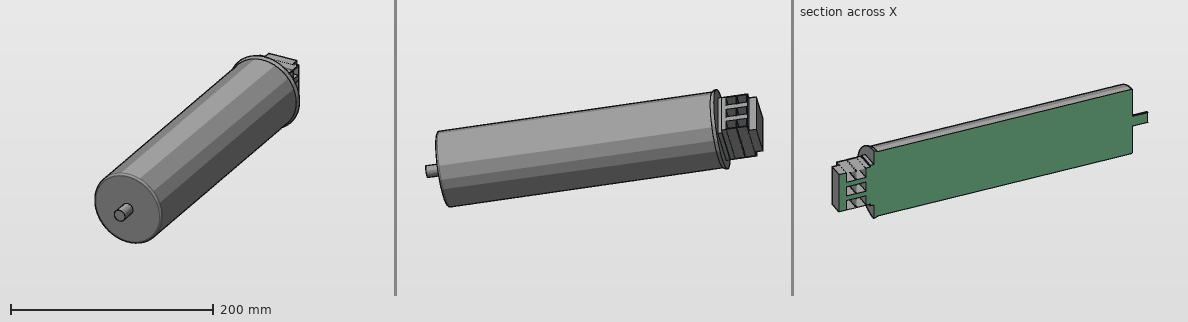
import cadquery as cq

CAN_DIAMETER = 76.0
CAN_LENGTH = 282.0
BASE_ROUND = 2.0

RIM_DIAMETER = 79.5
RIM_HEIGHT = 4.0

STUD_DIAMETER = 12.0
STUD_LENGTH = 16.5

NECK_WIDTH = 40.0
NECK_HEIGHT = 48.0
NECK_LENGTH = 4.0
BLOCK_SIDE = 44.0
BLOCK_LENGTH = 34.0
HEAD_WIDTH = 32.0
HEAD_LENGTH = 7.4

OPENING_SIDE = 10.0
OPENING_WALL = 1.0
OPENING_ROW_PITCH = 16.0
OPENING_ROWS = 3
OPENING_COLUMNS = 2
OPENING_SHOULDER_GAP = 1.0

NECK_START = CAN_LENGTH
BLOCK_START = NECK_START + NECK_LENGTH
BLOCK_END = BLOCK_START + BLOCK_LENGTH
SHOULDER = BLOCK_END - HEAD_LENGTH


def make_can():
    """Revolve the can, rounded rim and stud about the Y axis."""
    can_radius = CAN_DIAMETER / 2
    rim_radius = RIM_DIAMETER / 2
    stud_radius = STUD_DIAMETER / 2
    rim_overhang = rim_radius - can_radius
    rim_round = (rim_overhang**2 + RIM_HEIGHT**2) / (2 * rim_overhang)
    profile = (
        cq.Workplane("XY")
        .moveTo(0, -STUD_LENGTH)
        .lineTo(stud_radius, -STUD_LENGTH)
        .lineTo(stud_radius, 0)
        .lineTo(can_radius - BASE_ROUND, 0)
        .radiusArc((can_radius, BASE_ROUND), -BASE_ROUND)
        .lineTo(can_radius, CAN_LENGTH - RIM_HEIGHT)
        .radiusArc((rim_radius, CAN_LENGTH), -rim_round)
        .lineTo(0, CAN_LENGTH)
        .close()
    )
    return profile.revolve(360, (0, 0, 0), (0, 1, 0))


def box_along_y(width, height, start, end):
    """Box centred on the can axis, reaching from start to end along Y."""
    length = end - start
    return cq.Workplane("XY").box(width, length, height).translate((0, (start + end) / 2, 0))


def make_openings():
    """Rows of square openings, counted back from the block's shoulder."""
    column_pitch = OPENING_SIDE + OPENING_WALL
    first_column = SHOULDER - OPENING_SHOULDER_GAP - OPENING_SIDE / 2
    centres = []
    for column in range(OPENING_COLUMNS):
        for row in range(OPENING_ROWS):
            z = (row - (OPENING_ROWS - 1) / 2) * OPENING_ROW_PITCH
            centres.append((first_column - column * column_pitch, z))
    return (
        cq.Workplane("YZ")
        .pushPoints(centres)
        .rect(OPENING_SIDE, OPENING_SIDE)
        .extrude(BLOCK_SIDE / 2, both=True)
    )


def make_terminal_block():
    """Neck, main block and narrower head, pierced by the wire openings."""
    neck = box_along_y(NECK_WIDTH, NECK_HEIGHT, NECK_START, BLOCK_START)
    block = box_along_y(BLOCK_SIDE, BLOCK_SIDE, BLOCK_START, SHOULDER)
    head = box_along_y(HEAD_WIDTH, BLOCK_SIDE, SHOULDER, BLOCK_END)
    return neck.union(block).union(head).cut(make_openings())


result = make_can().union(make_terminal_block())